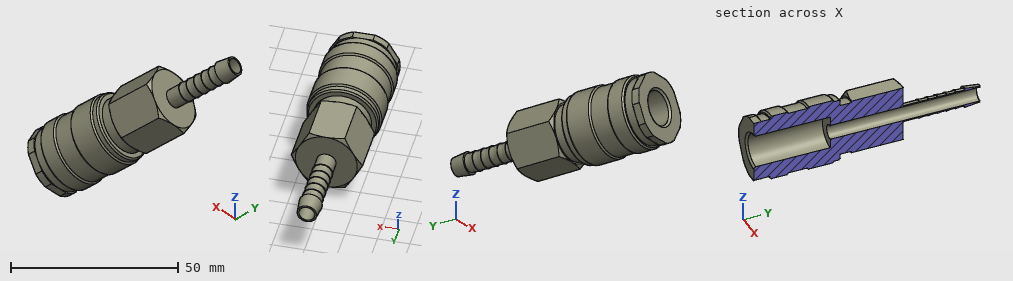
import cadquery as cq
import math

total_length = 74.0

flange_end = 2.5
front_band_start = 5.3
front_band_end = 11.4
main_band_start = 17.5
main_band_end = 26.35
collar_end = 28.4
hex_start = 32.0
hex_end = 49.0

band_diameter = 23.0
sleeve_diameter = 22.0
front_groove_diameter = 21.0
neck_diameter = 18.0
bore_diameter = 11.0
bore_mouth_diameter = 12.35
through_diameter = 4.9
stem_diameter = 6.0

sleeve_chamfer = 0.5

nut_flats = 19.0
flange_flats = 21.0
nut_chamfer_angle = 30.0
hex_half_angle = math.radians(30)

bore_depth = 25.0

barb_count = 5
first_barb_start = 54.1
barb_length = 1.4
barb_diameter = 6.45
tip_barb_length = 4.95
tip_barb_diameter = 7.2
tip_barb_start = total_length - tip_barb_length
barb_pitch = (tip_barb_start - first_barb_start) / barb_count


def revolve_profile(points):
    """Revolve (radius, y) points, closed along the axis, about the Y axis."""
    first_y = points[0][1]
    last_y = points[-1][1]
    outline = [(0, first_y)] + points + [(0, last_y)]
    return cq.Workplane("XY").polyline(outline).close().revolve(360, (0, 0, 0), (0, 1, 0))


def cylinder(diameter, start, end):
    return revolve_profile([(diameter / 2, start), (diameter / 2, end)])


def cone(start_diameter, end_diameter, start, end):
    return revolve_profile([(start_diameter / 2, start), (end_diameter / 2, end)])


def hexagon(flats, start, end):
    """Hexagonal bar along Y with corners on the X axis and flats facing +Z and -Z."""
    corner_diameter = flats / math.cos(hex_half_angle)
    bar = cq.Workplane("XZ").polygon(6, corner_diameter).extrude(-(end - start))
    return bar.translate((0, start, 0))


def make_flange():
    disc = cylinder(sleeve_diameter, 0, flange_end)
    return disc.intersect(hexagon(flange_flats, 0, flange_end))


def make_band(start, end):
    return cylinder(band_diameter, start, end).faces("<Y or >Y").chamfer(sleeve_chamfer)


def make_sleeve():
    front_groove = cylinder(front_groove_diameter, flange_end, front_band_start)
    barrel = cylinder(sleeve_diameter, front_band_start, collar_end).faces(">Y").chamfer(sleeve_chamfer)
    front_band = make_band(front_band_start, front_band_end)
    main_band = make_band(main_band_start, main_band_end)
    neck = cylinder(neck_diameter, collar_end, hex_start)
    return front_groove.union(barrel).union(front_band).union(main_band).union(neck)


def make_nut():
    """Hexagon whose corners are turned down to the flats by a cone at both ends."""
    face_radius = nut_flats / 2
    corner_radius = face_radius / math.cos(hex_half_angle)
    chamfer_length = (corner_radius - face_radius) * math.tan(math.radians(nut_chamfer_angle))
    envelope = revolve_profile([
        (face_radius, hex_start),
        (corner_radius, hex_start + chamfer_length),
        (corner_radius, hex_end - chamfer_length),
        (face_radius, hex_end),
    ])
    return hexagon(nut_flats, hex_start, hex_end).intersect(envelope)


def make_hose_tail():
    tail = cylinder(stem_diameter, hex_end, total_length)
    for index in range(barb_count):
        barb_start = first_barb_start + index * barb_pitch
        barb = cone(barb_diameter, stem_diameter, barb_start, barb_start + barb_length)
        tail = tail.union(barb)
    tip_barb = cone(tip_barb_diameter, stem_diameter, tip_barb_start, total_length)
    return tail.union(tip_barb)


def make_bore():
    """Socket bore with a chamfered mouth, and the passage through the whole length."""
    mouth_chamfer = (bore_mouth_diameter - bore_diameter) / 2
    socket = cylinder(bore_diameter, 0, bore_depth)
    mouth = cone(bore_mouth_diameter, bore_diameter, 0, mouth_chamfer)
    passage = cylinder(through_diameter, 0, total_length)
    return socket.union(mouth).union(passage)


body = make_flange().union(make_sleeve()).union(make_nut()).union(make_hose_tail())
result = body.cut(make_bore())